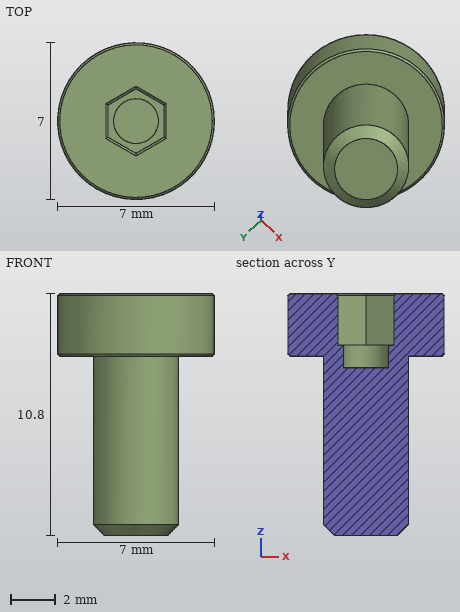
import cadquery as cq
import math

total_length = 10.8
head_height = 2.8
head_diameter = 7.0
head_chamfer = 0.1
shank_length = total_length - head_height
shank_diameter = 3.8
tip_chamfer = 0.5

socket_flats = 2.5
socket_depth = 2.3
socket_chamfer = 0.1
pilot_diameter = 2.0
pilot_depth = 1.0


def hexagon(z, across_flats):
    """Hexagon sketch at height z with two corners on the Y axis."""
    across_corners = across_flats / math.cos(math.pi / 6)
    return (
        cq.Workplane("XY", origin=(0, 0, z))
        .transformed(rotate=(0, 0, 90))
        .polygon(6, across_corners)
    )


def make_head():
    head = cq.Workplane("XY").circle(head_diameter / 2).extrude(head_height)
    return head.faces("<Z or >Z").edges().chamfer(head_chamfer)


def make_shank():
    shank = cq.Workplane("XY").circle(shank_diameter / 2).extrude(-shank_length)
    return shank.faces("<Z").edges().chamfer(tip_chamfer)


def make_socket():
    socket = hexagon(head_height, socket_flats).extrude(-socket_depth)
    mouth = hexagon(head_height, socket_flats + 2 * socket_chamfer).extrude(-socket_chamfer, taper=45)
    pilot = (
        cq.Workplane("XY", origin=(0, 0, head_height - socket_depth))
        .circle(pilot_diameter / 2)
        .extrude(-pilot_depth)
    )
    return socket.union(mouth).union(pilot)


result = make_head().union(make_shank()).cut(make_socket())